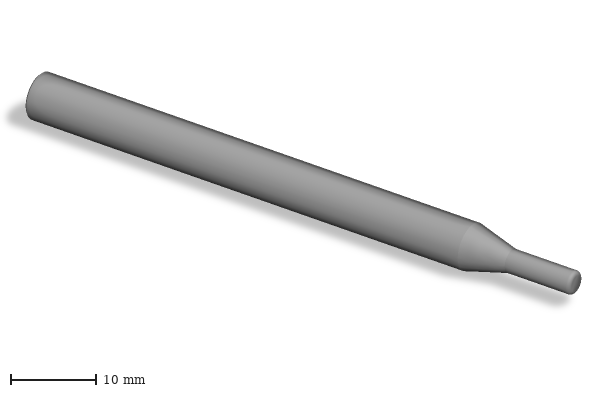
import cadquery as cq
import math

total_length = 75.0
shank_radius = 3.0
tip_radius = 1.5
tip_length = 9.0
taper_half_angle = 15.0
shank_chamfer = 0.25
tip_edge_radius = 0.5

taper_length = (shank_radius - tip_radius) / math.tan(math.radians(taper_half_angle))
tip_start = total_length - tip_length
taper_start = tip_start - taper_length


def make_pin():
    """Revolve the half profile of shank, taper and tip about the X axis."""
    half_profile = (
        cq.Workplane("XY")
        .moveTo(0, 0)
        .lineTo(0, shank_radius - shank_chamfer)
        .lineTo(shank_chamfer, shank_radius)
        .lineTo(taper_start, shank_radius)
        .lineTo(tip_start, tip_radius)
        .lineTo(total_length - tip_edge_radius, tip_radius)
        .radiusArc((total_length, tip_radius - tip_edge_radius), tip_edge_radius)
        .lineTo(total_length, 0)
        .close()
    )
    return half_profile.revolve(360, (0, 0, 0), (1, 0, 0))


result = make_pin()